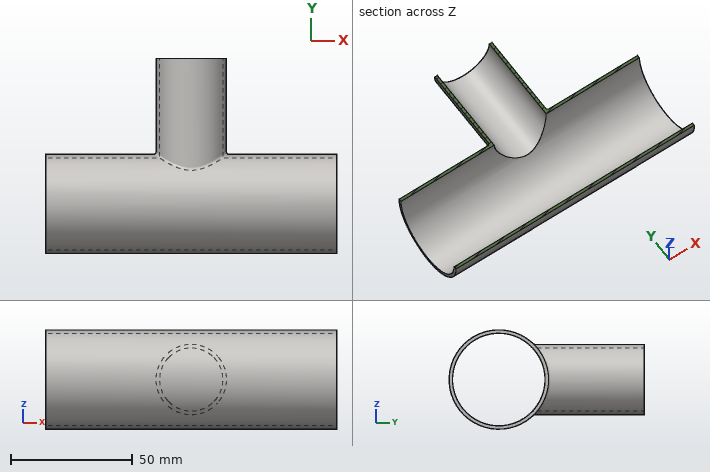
import cadquery as cq

run_length = 120.0
run_diameter = 41.0
branch_diameter = 29.0
branch_reach = 60.0
run_bore_diameter = 38.0
branch_bore_diameter = 26.0
junction_radius = 1.0


def run_cylinder(diameter):
    """Cylinder along the full run, centred on the origin."""
    return cq.Workplane("YZ").circle(diameter / 2).extrude(run_length / 2, both=True)


def branch_cylinder(diameter):
    """Cylinder from the run axis to the open end of the branch."""
    return cq.Workplane("XZ").circle(diameter / 2).extrude(-branch_reach)


def is_junction(edge):
    """True for edges on the +Y side that stop short of the open end of the branch."""
    box = edge.BoundingBox()
    return box.ymin > 0 and box.ymax < branch_reach


def blended_body():
    """Solid tee with the outer junction rounded."""
    body = run_cylinder(run_diameter).union(branch_cylinder(branch_diameter))
    junction = [edge for edge in body.edges().vals() if is_junction(edge)]
    return body.newObject(junction).fillet(junction_radius)


run_bore = run_cylinder(run_bore_diameter)
branch_bore = branch_cylinder(branch_bore_diameter)

result = blended_body().cut(run_bore).cut(branch_bore)